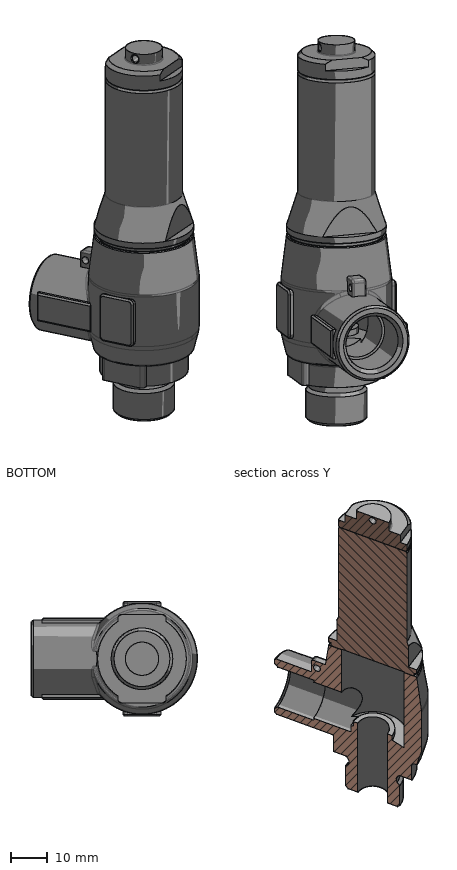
import cadquery as cq
import math


overall_height = 106.1
inlet_end_z = -28.7
collar_bottom_z = -16.7
body_bottom_z = -10.3
lower_cone_z = -4.5
upper_cone_z = 10.9
body_top_z = 23.0

body_radius = 15.0
body_bottom_radius = 13.55
body_top_radius = 13.5
body_blend_radius = 5.0
body_bottom_fillet = 0.6
body_top_chamfer = 0.25
collar_radius = 12.0
collar_fillet = 0.7

thread_radius = 16.66 / 2
relief_radius = 14.95 / 2
thread_chamfer = 0.8
relief_height = 3.2
relief_waist_height = 1.9
relief_waist_radius = 7.25
relief_top_radius = 8.1
inlet_bore_radius = 9.0 / 2

flat_width = 13.0
flat_corner_fillet = 1.0

chamber_radius = 19.0 / 2
seat_foot_z = -4.2
chamber_floor_z = -5.4
seat_top_z = -2.5
seat_radius = 12.0 / 2

outlet_end_x = -30.0
outlet_radius = 21.0 / 2
outlet_edge_chamfer = 0.6
outlet_root_fillet = 1.0
outlet_bore_radius = 13.5 / 2
outlet_thread_radius = 14.95 / 2
outlet_mouth_radius = 17.0 / 2
outlet_thread_depth = 12.0

size_plate_start_x = -27.1
size_plate_end_x = -10.0
size_plate_half_height = 4.1
size_plate_face_y = 11.0
size_plate_bevel = 0.5

badge_width = 10.4
badge_bottom_z = -3.8
badge_top_z = 9.9
badge_span_y = 31.07
badge_face_y = badge_span_y / 2
badge_root_y = 13.0
badge_corner_radius = 1.3
badge_bevel = 0.5

lug_start_x = -18.8
lug_end_x = -13.0
lug_top_z = 15.1
lug_width = 4.0
lug_corner_fillet = 1.0
lug_edge_fillet = 0.6
lug_hole_x = -17.0
lug_hole_z = 12.5
seal_hole_diameter = 2.0

ring_bottom_z = 23.9
ring_top_z = 25.7
bonnet_cone_top_z = 35.0
bonnet_top_z = 68.9
ring_radius = 13.5
ring_chamfer = 0.2
bonnet_neck_radius = 12.75
sleeve_radius = 10.5
sleeve_top_chamfer_height = 0.7
sleeve_top_radius = 10.2
bonnet_flats = 22.0

cap_top_z = 74.3
cap_chamfer = 1.0
cap_bottom_chamfer = 0.25
cap_flats = 17.0
cap_flats_bottom_z = 71.5
knob_top_z = inlet_end_z + overall_height
knob_radius = 10.0 / 2
knob_root_fillet = 0.2
knob_hole_z = 75.8
knob_hole_chamfer = 0.25


def turned(points):
    """Solid of revolution about Z from (radius, height) points; the outline closes on the axis."""
    axis_bottom = (0, points[0][1])
    axis_top = (0, points[-1][1])
    outline = cq.Workplane("XZ").polyline([axis_bottom, *points, axis_top]).close()
    return outline.revolve(360, (0, 0, 0), (0, 1, 0))


def block(x0, x1, y0, y1, z0, z1):
    """Axis-aligned box between two corners."""
    return cq.Workplane("XY").box(x1 - x0, y1 - y0, z1 - z0, centered=False).translate((x0, y0, z0))


def across_flats(solid, width, z0, z1):
    """Cut two flats, square to X, into the length of a turned solid from z0 to z1."""
    reach = 2 * body_radius
    for side in (1, -1):
        near, far = sorted((side * width / 2, side * reach))
        solid = solid.cut(block(near, far, -reach, reach, z0, z1))
    return solid


def cross_hole(x, z):
    """Cutter for a sealing-wire hole along Y."""
    return (
        cq.Workplane("XZ", origin=(x, 0, z))
        .circle(seal_hole_diameter / 2)
        .extrude(body_radius, both=True)
    )


def barrel():
    """Main vessel: a cylinder blended into a long upper cone and a short lower cone."""
    shape = turned([
        (body_bottom_radius, body_bottom_z),
        (body_radius, lower_cone_z),
        (body_radius, upper_cone_z),
        (body_top_radius, body_top_z),
    ])
    rims = cq.selectors.BoxSelector(
        (-2 * body_radius, -2 * body_radius, (body_bottom_z + lower_cone_z) / 2),
        (2 * body_radius, 2 * body_radius, (upper_cone_z + body_top_z) / 2),
    )
    shape = shape.edges("%CIRCLE").edges(rims).fillet(body_blend_radius)
    shape = shape.faces("<Z").edges().fillet(body_bottom_fillet)
    return shape.faces(">Z").edges().chamfer(body_top_chamfer)


def outlet_tube():
    return (
        cq.Workplane("YZ", origin=(outlet_end_x, 0, 0))
        .circle(outlet_radius)
        .extrude(-outlet_end_x)
        .faces("<X")
        .edges()
        .chamfer(outlet_edge_chamfer)
    )


def collar():
    """Round collar under the vessel, with a flat block on the front and back."""
    arc_inset = collar_fillet * (1 - math.sqrt(0.5))
    round_part = (
        cq.Workplane("XZ")
        .moveTo(0, collar_bottom_z)
        .lineTo(collar_radius, collar_bottom_z)
        .lineTo(collar_radius, body_bottom_z - collar_fillet)
        .threePointArc(
            (collar_radius + arc_inset, body_bottom_z - arc_inset),
            (collar_radius + collar_fillet, body_bottom_z),
        )
        .lineTo(0, body_bottom_z)
        .close()
        .revolve(360, (0, 0, 0), (0, 1, 0))
    )
    slab = block(
        -body_radius, body_radius, -collar_radius, collar_radius, collar_bottom_z, body_bottom_z
    )
    flat_block = block(
        -flat_width / 2, flat_width / 2, -collar_radius, collar_radius, collar_bottom_z, body_bottom_z
    )
    return round_part.intersect(slab).union(flat_block.edges("|Z").fillet(flat_corner_fillet))


def inlet_thread():
    """Inlet spigot at thread diameter, with a relief under the collar."""
    relief_bottom_z = collar_bottom_z - relief_height
    thread_step = thread_radius - relief_radius
    return turned([
        (thread_radius - thread_chamfer, inlet_end_z),
        (thread_radius, inlet_end_z + thread_chamfer),
        (thread_radius, relief_bottom_z - thread_step / 2),
        (relief_radius, relief_bottom_z + thread_step / 2),
        (relief_waist_radius, relief_bottom_z + relief_waist_height),
        (relief_top_radius, collar_bottom_z),
    ])


def size_plate(side):
    """Raised plate on one side of the outlet, with bevelled edges."""
    y0, y1 = sorted((0, side * size_plate_face_y))
    plate = block(
        size_plate_start_x, size_plate_end_x, y0, y1, -size_plate_half_height, size_plate_half_height
    )
    return plate.faces(">Y" if side > 0 else "<Y").edges().chamfer(size_plate_bevel)


def badge(side):
    """Raised plate with rounded corners on the front or back of the vessel."""
    y0, y1 = sorted((side * badge_root_y, side * badge_face_y))
    plate = block(-badge_width / 2, badge_width / 2, y0, y1, badge_bottom_z, badge_top_z)
    plate = plate.edges("|Y").fillet(badge_corner_radius)
    return plate.faces(">Y" if side > 0 else "<Y").edges().chamfer(badge_bevel)


def sealing_lug():
    lug = block(lug_start_x, lug_end_x, -lug_width / 2, lug_width / 2, 0, lug_top_z)
    lug = lug.edges("|Y and <X and >Z").fillet(lug_corner_fillet)
    lug = lug.faces("<Y or >Y").edges("not(>X or <Z)").fillet(lug_edge_fillet)
    return lug.cut(cross_hole(lug_hole_x, lug_hole_z))


def flow_passage():
    """Chamber open at the top, raised seat, inlet bore and stepped outlet bore."""
    chamber = turned([
        (seat_radius, seat_foot_z),
        (chamber_radius, chamber_floor_z),
        (chamber_radius, body_top_z),
    ])
    outlet_bore_end_x = -math.sqrt(chamber_radius**2 - outlet_bore_radius**2)
    outlet_bore = (
        cq.Workplane("YZ", origin=(outlet_end_x, 0, 0))
        .circle(outlet_bore_radius)
        .extrude(outlet_bore_end_x - outlet_end_x)
    )
    thread_bore = (
        cq.Workplane("YZ", origin=(outlet_end_x, 0, 0))
        .circle(outlet_thread_radius)
        .extrude(outlet_thread_depth)
    )
    mouth_depth = outlet_mouth_radius - outlet_thread_radius
    mouth = (
        cq.Workplane("YZ", origin=(outlet_end_x, 0, 0))
        .circle(outlet_mouth_radius)
        .workplane(offset=mouth_depth)
        .circle(outlet_thread_radius)
        .loft()
    )
    seat = turned([(seat_radius, inlet_end_z), (seat_radius, seat_top_z)])
    inlet_bore = turned([(inlet_bore_radius, inlet_end_z), (inlet_bore_radius, body_top_z)])
    return chamber.union(outlet_bore).cut(seat).union(inlet_bore).union(thread_bore).union(mouth)


def make_valve_body():
    body = barrel().union(outlet_tube())
    tube_root = cq.selectors.BoxSelector(
        (-body_radius, -outlet_radius, -outlet_radius / 2),
        (-outlet_radius, outlet_radius, outlet_radius),
    )
    body = body.edges(tube_root).fillet(outlet_root_fillet)
    body = body.union(collar()).union(inlet_thread())
    for side in (1, -1):
        body = body.union(size_plate(side)).union(badge(side))
    return body.union(sealing_lug()).cut(flow_passage())


def make_bonnet():
    """Spring housing: neck, ring, cone with two wrench flats, and a plain sleeve."""
    bonnet = turned([
        (bonnet_neck_radius, body_top_z),
        (bonnet_neck_radius, ring_bottom_z),
        (ring_radius - ring_chamfer, ring_bottom_z),
        (ring_radius, ring_bottom_z + ring_chamfer),
        (ring_radius, ring_top_z),
        (sleeve_radius, bonnet_cone_top_z),
        (sleeve_radius, bonnet_top_z - sleeve_top_chamfer_height),
        (sleeve_top_radius, bonnet_top_z),
    ])
    return across_flats(bonnet, bonnet_flats, ring_top_z, bonnet_cone_top_z)


def make_cap():
    """Cap with wrench flats and a knob, filleted at its root and cross-drilled for the sealing wire."""
    cap = turned([
        (sleeve_radius - cap_bottom_chamfer, bonnet_top_z),
        (sleeve_radius, bonnet_top_z + cap_bottom_chamfer),
        (sleeve_radius, cap_top_z - cap_chamfer),
        (sleeve_radius - cap_chamfer, cap_top_z),
        (knob_radius, cap_top_z),
        (knob_radius, knob_top_z),
    ])
    cap = across_flats(cap, cap_flats, cap_flats_bottom_z, cap_top_z)
    reach = knob_root_fillet
    knob_root = cq.selectors.BoxSelector(
        (-reach, -reach, cap_top_z - reach), (reach, reach, cap_top_z + reach)
    )
    cap = cap.edges(knob_root).fillet(knob_root_fillet)
    cap = cap.cut(cross_hole(0, knob_hole_z))
    hole_radius = seal_hole_diameter / 2
    hole_rims = cq.selectors.BoxSelector(
        (-hole_radius, -knob_radius, knob_hole_z - hole_radius / 2),
        (hole_radius, knob_radius, knob_hole_z + hole_radius / 2),
    )
    return cap.edges(hole_rims).chamfer(knob_hole_chamfer)


valve_body = make_valve_body()
bonnet = make_bonnet()
cap = make_cap()

result = cq.Compound.makeCompound([valve_body.val(), bonnet.val(), cap.val()])